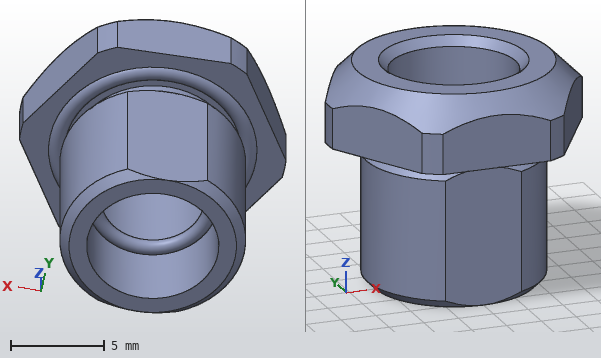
import cadquery as cq

across_flats = 13.0
head_corner_diameter = 14.4
head_top_diameter = 11.0
head_height = 4.0
corner_angle = 30.0

shank_diameter = 10.0
shank_across_flats = 9.0
shank_end_chamfer = (shank_diameter - shank_across_flats) / 2
neck_diameter = 8.7
shank_top_chamfer = (shank_diameter - neck_diameter) / 2
shank_length = 8.0
neck_length = 0.5

bore_diameter = 7.1
bore_chamfer = 0.5

face_ring_section = 1.0
face_ring_mean_radius = 5.17
face_ring_projection = 0.25

bore_ring_section = 0.8
bore_ring_mean_radius = (bore_diameter - bore_ring_section) / 2

head_bottom = shank_length + neck_length
total_height = head_bottom + head_height
face_ring_level = head_bottom - face_ring_projection + face_ring_section / 2
bore_ring_level = shank_length / 2


def make_ring(mean_radius, section_diameter, level):
    """O-ring around the Z axis with its centre plane at the given level."""
    return (
        cq.Workplane("XZ")
        .center(mean_radius, level)
        .circle(section_diameter / 2)
        .revolve(360, (-mean_radius, 0), (-mean_radius, 1))
    )


def make_head():
    """Hexagon with corners on X, rounded corner edges and a 45 degree top chamfer."""
    hexagon = (
        cq.Workplane("XY", origin=(0, 0, head_bottom))
        .polygon(6, across_flats, circumscribed=True)
        .extrude(head_height)
        .rotate((0, 0, 0), (0, 0, 1), corner_angle)
    )
    top_chamfer = (head_corner_diameter - head_top_diameter) / 2
    turned_blank = (
        cq.Workplane("XY", origin=(0, 0, head_bottom))
        .circle(head_corner_diameter / 2)
        .extrude(head_height)
        .faces(">Z")
        .chamfer(top_chamfer)
    )
    return hexagon.intersect(turned_blank)


def make_shank():
    """Round shank chamfered at both ends, with flats facing +Y and -Y."""
    round_shank = (
        cq.Workplane("XY")
        .circle(shank_diameter / 2)
        .extrude(shank_length)
        .faces("<Z")
        .chamfer(shank_end_chamfer)
        .faces(">Z")
        .chamfer(shank_top_chamfer)
    )
    flat_limits = cq.Workplane("XY").rect(shank_diameter, shank_across_flats).extrude(shank_length)
    return round_shank.intersect(flat_limits)


def make_neck():
    """Plain undercut cylinder joining the shank to the head."""
    return (
        cq.Workplane("XY", origin=(0, 0, shank_length))
        .circle(neck_diameter / 2)
        .extrude(neck_length)
    )


def make_bore():
    """Through bore with a 45 degree lead-in at the top, as a cutting solid."""
    bore_radius = bore_diameter / 2
    return (
        cq.Workplane("XZ")
        .moveTo(0, 0)
        .lineTo(bore_radius, 0)
        .lineTo(bore_radius, total_height - bore_chamfer)
        .lineTo(bore_radius + bore_chamfer, total_height)
        .lineTo(0, total_height)
        .close()
        .revolve(360, (0, 0), (0, 1))
    )


face_ring = make_ring(face_ring_mean_radius, face_ring_section, face_ring_level)
bore_ring = make_ring(bore_ring_mean_radius, bore_ring_section, bore_ring_level)

bushing = make_shank().union(make_neck()).union(make_head()).cut(make_bore()).cut(face_ring)

result = cq.Compound.makeCompound([bushing.solids().val(), face_ring.val(), bore_ring.val()])